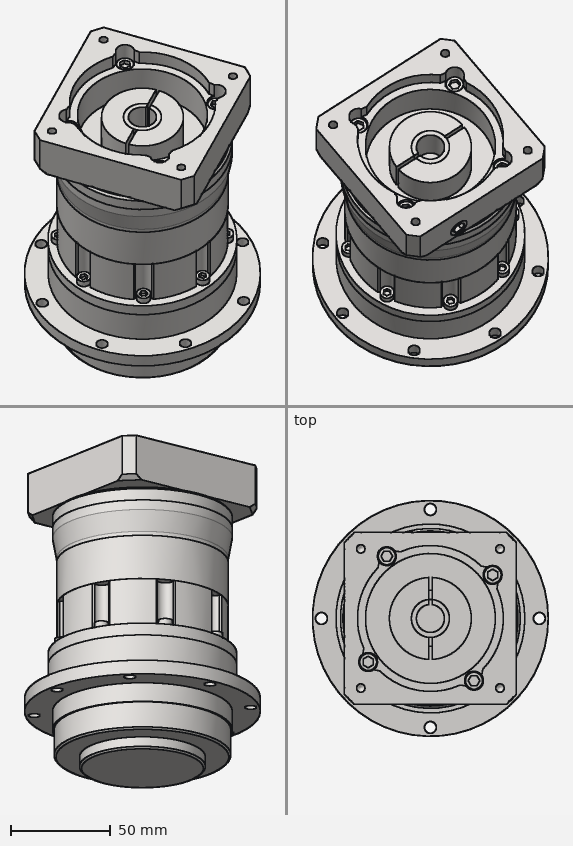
import cadquery as cq
import math

output_shoulder_z = 6.0
land_step_z = 20.2
flange_bottom_z = 30.0
flange_top_z = 37.2
gear_bottom_z = 54.5
flute_bottom_z = 60.7
flute_top_z = 85.7
input_bottom_z = 108.5
cone_bottom_z = 110.7
cone_top_z = 121.6
adapter_bottom_z = 126.5
cavity_floor_z = 129.0
square_bottom_z = 133.7
hub_top_z = 147.0
pilot_floor_z = 148.5
adapter_top_z = 156.5

stub_radius = 31.5
nose_radius = 44.25
rim_radius = 45.0
shoulder_radius = 47.25
flange_radius = 59.0
gear_radius = 43.0
fluted_radius = 42.9
end_chamfer = 1.0

flange_hole_count = 8
flange_hole_circle = 54.5
flange_hole_diameter = 5.8

flute_count = 8
flute_first_angle = 22.5
flute_axis_radius = 41.7
flute_radius = 4.1
gear_head_circle = 42.0
gear_head_radius = 3.5
gear_head_height = 3.6
gear_hex_flats = 3.5
gear_hex_depth = 2.0

square_side = 86.0
square_corner_chamfer = 5.0
square_underside_chamfer = 2.5
rim_chamfer = 1.2
pilot_radius = 36.5
cavity_radius = 32.5
motor_hole_spacing = 69.6
motor_hole_diameter = 4.2
motor_hole_depth = 12.0
drill_tip_angle = 118.0

pocket_count = 4
pocket_first_angle = 35.0
pocket_axis_radius = 38.0
pocket_radius = 4.7
pocket_floor_z = 142.0
adapter_head_radius = 4.25
adapter_head_top_z = 147.5
adapter_hex_flats = 5.0
adapter_hex_depth = 2.5

plug_y = 14.0
plug_z = 140.5
plug_radius = 5.0
plug_length = 8.0
plug_hex_flats = 6.0
plug_hex_depth = 4.0

hub_radius = 20.5
hub_inner_radius = 14.0
sleeve_radius = 9.5
sleeve_bore_radius = 7.0
slit_width = 1.7
hub_inner_slit_depth = 14.0


def disc(radius, bottom_z, top_z):
    return cq.Workplane("XY").workplane(offset=bottom_z).circle(radius).extrude(top_z - bottom_z)


def polar_angles(count, first_angle):
    return [first_angle + i * 360.0 / count for i in range(count)]


def flared_pocket(axis_radius, radius, open_radius, bottom_z, top_z):
    """Round pocket on +X whose mouth opens at 45 degrees on each side to the circle of open_radius."""
    toward_mouth = math.copysign(1.0, open_radius - axis_radius)
    reach = abs(open_radius - axis_radius) + radius
    mouth_x = axis_radius + toward_mouth * reach
    mouth = (
        cq.Workplane("XY")
        .workplane(offset=bottom_z)
        .polyline(
            [
                (axis_radius, -radius),
                (mouth_x, -radius - reach),
                (mouth_x, radius + reach),
                (axis_radius, radius),
            ]
        )
        .close()
        .extrude(top_z - bottom_z)
    )
    return disc(radius, bottom_z, top_z).translate((axis_radius, 0, 0)).union(mouth)


def socket_head(radius, bottom_z, top_z, hex_flats, hex_depth):
    """Cylindrical screw head on the Z axis with a hexagon socket, a corner of which points along X."""
    socket = (
        cq.Workplane("XY")
        .workplane(offset=top_z - hex_depth)
        .polygon(6, hex_flats, circumscribed=True)
        .extrude(hex_depth)
    )
    return disc(radius, bottom_z, top_z).cut(socket)


def make_output_housing():
    stub = disc(stub_radius, 0, output_shoulder_z).faces("<Z").edges().chamfer(end_chamfer)
    nose = disc(nose_radius, output_shoulder_z, land_step_z).faces("<Z").edges().chamfer(end_chamfer)
    land = disc(rim_radius, land_step_z, flange_bottom_z)
    flange = (
        disc(flange_radius, flange_bottom_z, flange_top_z)
        .faces(">Z")
        .workplane()
        .polarArray(flange_hole_circle, 0, 360, flange_hole_count)
        .hole(flange_hole_diameter)
    )
    shoulder = disc(shoulder_radius, flange_top_z, gear_bottom_z)
    return stub.union(nose).union(land).union(flange).union(shoulder)


def make_gear_ring():
    ring = disc(shoulder_radius, gear_bottom_z, flute_bottom_z)
    ring = ring.union(disc(fluted_radius, flute_bottom_z, flute_top_z))
    ring = ring.union(disc(gear_radius, flute_top_z, input_bottom_z))
    flute = flared_pocket(flute_axis_radius, flute_radius, fluted_radius, flute_bottom_z, flute_top_z)
    head = socket_head(
        gear_head_radius,
        flute_bottom_z,
        flute_bottom_z + gear_head_height,
        gear_hex_flats,
        gear_hex_depth,
    ).translate((gear_head_circle, 0, 0))
    for angle in polar_angles(flute_count, flute_first_angle):
        ring = ring.cut(flute.rotate((0, 0, 0), (0, 0, 1), angle))
        ring = ring.union(head.rotate((0, 0, 0), (0, 0, 1), angle))
    return ring


def make_input_housing():
    outline = [
        (0, input_bottom_z),
        (gear_radius, input_bottom_z),
        (gear_radius, cone_bottom_z),
        (rim_radius, cone_top_z),
        (rim_radius, adapter_bottom_z),
        (0, adapter_bottom_z),
    ]
    return cq.Workplane("XZ").polyline(outline).close().revolve(360, (0, 0, 0), (0, 1, 0))


def make_adapter_square():
    """Square block with cut corners and a 45 degree chamfer under each corner."""
    return (
        cq.Workplane("XY")
        .workplane(offset=square_bottom_z)
        .rect(square_side, square_side)
        .extrude(adapter_top_z - square_bottom_z)
        .edges("|Z")
        .chamfer(square_corner_chamfer)
        .faces("<Z")
        .edges("not (#X or #Y)")
        .chamfer(square_underside_chamfer)
    )


def make_motor_hole():
    """Blind drilled hole on the Z axis, ending in a drill tip."""
    radius = motor_hole_diameter / 2
    tip_depth = radius / math.tan(math.radians(drill_tip_angle / 2))
    shoulder_z = adapter_top_z - motor_hole_depth
    outline = [
        (0, adapter_top_z),
        (radius, adapter_top_z),
        (radius, shoulder_z),
        (0, shoulder_z - tip_depth),
    ]
    return cq.Workplane("XZ").polyline(outline).close().revolve(360, (0, 0, 0), (0, 1, 0))


def plug_workplane():
    """Workplane on the -X face of the adapter, centred on the plug and facing outward."""
    origin = (-square_side / 2, plug_y, plug_z)
    return cq.Workplane(cq.Plane(origin=origin, xDir=(0, 0, 1), normal=(-1, 0, 0)))


def make_plug_blank():
    return plug_workplane().circle(plug_radius).extrude(-plug_length)


def make_adapter():
    rim = disc(rim_radius, adapter_bottom_z, square_bottom_z).faces(">Z").edges().chamfer(rim_chamfer)
    adapter = rim.union(make_adapter_square())
    adapter = adapter.cut(disc(pilot_radius, pilot_floor_z, adapter_top_z))
    adapter = adapter.cut(disc(cavity_radius, cavity_floor_z, pilot_floor_z))
    adapter = adapter.cut(make_plug_blank())

    hole = make_motor_hole()
    half_spacing = motor_hole_spacing / 2
    for x in (-half_spacing, half_spacing):
        for y in (-half_spacing, half_spacing):
            adapter = adapter.cut(hole.translate((x, y, 0)))

    mouth = flared_pocket(pocket_axis_radius, pocket_radius, pilot_radius, pilot_floor_z, adapter_top_z)
    well = disc(pocket_radius, pocket_floor_z, pilot_floor_z).translate((pocket_axis_radius, 0, 0))
    head = socket_head(
        adapter_head_radius,
        pocket_floor_z,
        adapter_head_top_z,
        adapter_hex_flats,
        adapter_hex_depth,
    )
    head = head.rotate((0, 0, 0), (0, 0, 1), -pocket_first_angle).translate((pocket_axis_radius, 0, 0))
    for angle in polar_angles(pocket_count, pocket_first_angle):
        adapter = adapter.cut(mouth.union(well).rotate((0, 0, 0), (0, 0, 1), angle))
        adapter = adapter.union(head.rotate((0, 0, 0), (0, 0, 1), angle))
    return adapter


def make_plug():
    socket = plug_workplane().polygon(6, plug_hex_flats, circumscribed=True).extrude(-plug_hex_depth)
    return make_plug_blank().cut(socket)


def make_hub():
    """Clamping hub, slit on both sides: full height near the rim, shallower around the sleeve."""
    hub = disc(hub_radius, cavity_floor_z, hub_top_z).cut(disc(sleeve_radius, cavity_floor_z, hub_top_z))
    slit = (
        cq.Workplane("XY")
        .workplane(offset=cavity_floor_z)
        .rect(slit_width, 2 * hub_radius)
        .extrude(hub_top_z - cavity_floor_z)
    )
    inner_slit_floor = disc(hub_inner_radius, cavity_floor_z, hub_top_z - hub_inner_slit_depth)
    return hub.cut(slit.cut(inner_slit_floor))


def make_sleeve():
    sleeve = disc(sleeve_radius, cavity_floor_z, hub_top_z)
    sleeve = sleeve.cut(disc(sleeve_bore_radius, cavity_floor_z, hub_top_z))
    slit = (
        cq.Workplane("XY")
        .workplane(offset=cavity_floor_z)
        .center(0, sleeve_radius / 2)
        .rect(slit_width, sleeve_radius)
        .extrude(hub_top_z - cavity_floor_z)
    )
    return sleeve.cut(slit)


output_housing = make_output_housing()
gear_ring = make_gear_ring()
input_housing = make_input_housing()
adapter = make_adapter()
plug = make_plug()
hub = make_hub()
sleeve = make_sleeve()

result = cq.Compound.makeCompound(
    [
        output_housing.val(),
        gear_ring.val(),
        input_housing.val(),
        adapter.val(),
        plug.val(),
        hub.val(),
        sleeve.val(),
    ]
)